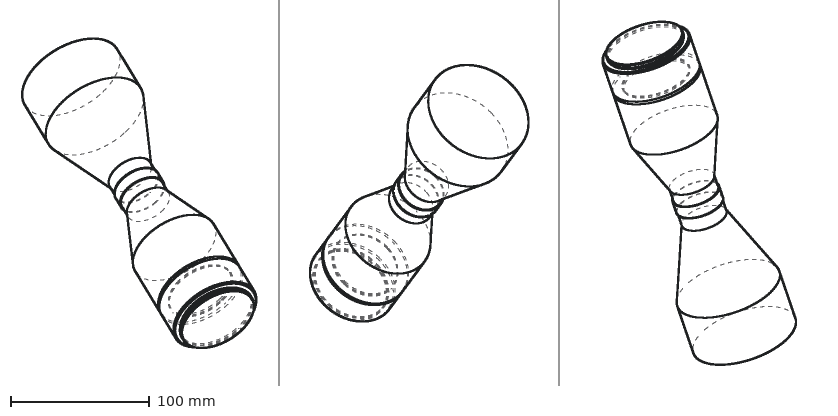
import cadquery as cq

head_diameter = 78.0
head_radius = head_diameter / 2
waist_radius = 17.0
ring_radius = 17.8
barrel_radius = 33.0
groove_radius = 24.8
groove_step_radius = 25.5
end_neck_radius = 28.3
lip_radius = 29.0

total_length = 250.5
head_end = 40.3
waist_start = 100.7
ring_start = 111.7
ring_end = 121.5
waist_end = 131.5
barrel_start = 176.0
groove_start = 219.2
groove_end = 221.5
lip_start = 247.5

groove_step_width = 0.8
collar_end = 246.2
collar_chamfer = 1.0
lip_chamfer = 0.5

head_and_waist = [
    (0, 0),
    (0, head_radius),
    (head_end, head_radius),
    (waist_start, waist_radius),
    (ring_start, waist_radius),
    (ring_start, ring_radius),
    (ring_end, ring_radius),
    (ring_end, waist_radius),
    (waist_end, waist_radius),
]

groove_step_start = groove_end - groove_step_width
barrel_and_groove = [
    (barrel_start, barrel_radius),
    (groove_start, barrel_radius),
    (groove_start, groove_radius),
    (groove_step_start, groove_radius),
    (groove_step_start, groove_step_radius),
    (groove_end, groove_step_radius),
]

collar_and_lip = [
    (groove_end, barrel_radius),
    (collar_end - collar_chamfer, barrel_radius),
    (collar_end, barrel_radius - collar_chamfer),
    (collar_end, end_neck_radius),
    (lip_start, end_neck_radius),
    (lip_start, lip_radius),
    (total_length - lip_chamfer, lip_radius),
    (total_length, lip_radius - lip_chamfer),
    (total_length, 0),
]

outline = head_and_waist + barrel_and_groove + collar_and_lip
result = cq.Workplane("XZ").polyline(outline).close().revolve(360, (0, 0, 0), (1, 0, 0))